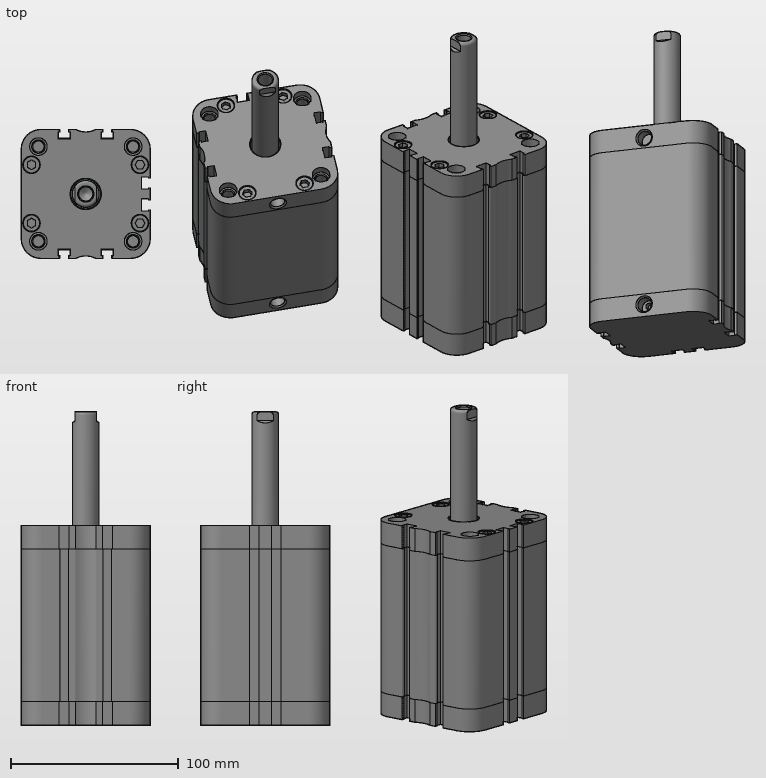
import cadquery as cq
import math

width = 77.0
total_height = 187.0
body_height = 119.1
cap_height = 14.0
corner_radius = 12.0
half_width = width / 2
barrel_height = body_height - 2 * cap_height
barrel_top = cap_height + barrel_height

side_slot_offset = 12.9
cap_throat = 6.0
cap_slot_width = 7.5
cap_slot_depth = 5.6
barrel_throat = 5.0
barrel_slot_width = 6.7
barrel_slot_depth = 5.2
side_lip = 1.7
back_slot_offset = 6.5
back_throat = 5.8
back_slot_width = 7.1
back_slot_depth = 5.2
back_lip = 1.1
dish_width = 12.0
dish_depth = 1.5
dish_radius = (dish_width ** 2 / 4 + dish_depth ** 2) / (2 * dish_depth)
barrel_mouth_radius = 0.5
barrel_dish_radius = 1.3

mount_offset = 28.2
mount_bore = 10.5
mount_bore_depth = 4.9
mount_chamfer = 8.0
mount_hole = 6.7

screw_x = 32.4
screw_y = 17.4
screw_recess = 9.7
screw_recess_chamfer = 10.5
screw_head_drop = 0.5
hex_across_flats = 5.0
hex_depth = 2.8

port_height = 7.7
port_hole = 8.6
port_chamfer = 10.5
port_depth = 8.0
passage_hole = 4.0
passage_rise = 1.0
passage_depth = 3.7

rod_diameter = 16.0
rod_bore = 17.8
rod_bore_chamfer = 18.7
rod_end_radius = 1.9
flat_distance = 12.9
flat_length = 5.5
flat_runout = 1.3
thread_hole = 8.5
thread_chamfer = 9.7
thread_depth = 20.0
drill_tip_angle = 118


def cone_frustum(large_diameter, small_diameter):
    """45-degree countersink with its large end at z = 0, narrowing downwards."""
    depth = (large_diameter - small_diameter) / 2
    return cq.Workplane("XY").circle(large_diameter / 2).workplane(offset=-depth).circle(
        small_diameter / 2).loft()


def slot_tool(throat, slot_width, depth, lip, height):
    """T-slot cutter along Z that opens towards +Y at y = half_width."""
    throat_cut = cq.Workplane("XY").box(throat, depth, height, centered=(True, False, False))
    inner_cut = cq.Workplane("XY").box(slot_width, depth - lip, height, centered=(True, False, False))
    return throat_cut.union(inner_cut).translate((0, half_width - depth, 0))


def section_block(throat, slot_width, depth, height):
    """Rounded square block with the slots and dishes of the side profile, standing on z = 0."""
    block = cq.Workplane("XY").rect(width, width).extrude(height).edges("|Z").fillet(corner_radius)
    side_slot = slot_tool(throat, slot_width, depth, side_lip, height)
    back_slot = slot_tool(back_throat, back_slot_width, back_slot_depth, back_lip, height)
    back_slot = back_slot.rotate((0, 0, 0), (0, 0, 1), -90)
    dish = cq.Workplane("XY").center(0, half_width - dish_depth + dish_radius)
    dish = dish.circle(dish_radius).extrude(height)

    side_cuts = dish
    for slot_sign in (-1, 1):
        side_cuts = side_cuts.union(side_slot.translate((slot_sign * side_slot_offset, 0, 0)))
        block = block.cut(back_slot.translate((0, slot_sign * back_slot_offset, 0)))
    return block.cut(side_cuts).cut(side_cuts.mirror("XZ"))


def round_side_edges(block, edge_x, radius):
    """Round the vertical edges at x = +-edge_x on the -Y and +Y sides."""
    def is_at_edge_x(edge):
        return math.isclose(abs(edge.Center().x), edge_x, abs_tol=0.002)

    for side in ("<Y", ">Y"):
        block = block.edges("|Z").edges(side).filter(is_at_edge_x).fillet(radius)
    return block


def cap_block():
    return section_block(cap_throat, cap_slot_width, cap_slot_depth, cap_height)


def port_tool(axis_z):
    """Chamfered blind port entering from the -X side."""
    port = cq.Workplane("XY").circle(port_hole / 2).extrude(-port_depth)
    port = port.union(cone_frustum(port_chamfer, port_hole))
    return port.rotate((0, 0, 0), (0, 1, 0), -90).translate((-half_width, 0, axis_z))


def mounting_hole_tool():
    """Counterbored, countersunk hole through the cap, with its mouth at z = 0."""
    hole = cq.Workplane("XY").circle(mount_hole / 2).extrude(-cap_height)
    bore = cq.Workplane("XY").circle(mount_bore / 2).extrude(-mount_bore_depth)
    countersink = cone_frustum(mount_chamfer, mount_hole).translate((0, 0, -mount_bore_depth))
    return hole.union(bore).union(countersink)


def screw_head_tool(hex_turn):
    """Chamfered recess down to the top of a screw head, with a hexagon socket below it."""
    recess = cq.Workplane("XY").circle(screw_recess / 2).extrude(-screw_head_drop)
    recess = recess.union(cone_frustum(screw_recess_chamfer, screw_recess))
    hex_corners = hex_across_flats / math.cos(math.pi / 6)
    socket = cq.Workplane("XY").polygon(6, hex_corners).extrude(-screw_head_drop - hex_depth)
    return recess.union(socket.rotate((0, 0, 0), (0, 0, 1), hex_turn))


def make_barrel():
    barrel = section_block(barrel_throat, barrel_slot_width, barrel_slot_depth, barrel_height)
    barrel = round_side_edges(barrel, dish_width / 2, barrel_dish_radius)
    for throat_side in (-1, 1):
        mouth_x = side_slot_offset + throat_side * barrel_throat / 2
        barrel = round_side_edges(barrel, mouth_x, barrel_mouth_radius)
    return barrel.translate((0, 0, cap_height)).solids()


def make_bottom_cap():
    cap = cap_block().cut(port_tool(port_height))
    passage = cq.Workplane("YZ").center(0, port_height + passage_rise)
    passage = passage.circle(passage_hole / 2).extrude(port_depth + passage_depth)
    return cap.cut(passage.translate((-half_width, 0, 0))).solids()


def make_top_cap():
    cap = cap_block().translate((0, 0, barrel_top))
    cap = cap.cut(port_tool(body_height - port_height))

    rod_hole = cq.Workplane("XY").circle(rod_bore / 2).extrude(-cap_height)
    rod_hole = rod_hole.union(cone_frustum(rod_bore_chamfer, rod_bore))
    cap = cap.cut(rod_hole.translate((0, 0, body_height)))

    for x_sign in (-1, 1):
        hex_turn = 30 if x_sign < 0 else 0
        for y_sign in (-1, 1):
            mount_place = (x_sign * mount_offset, y_sign * mount_offset, body_height)
            screw_place = (x_sign * screw_x, y_sign * screw_y, body_height)
            cap = cap.cut(mounting_hole_tool().translate(mount_place))
            cap = cap.cut(screw_head_tool(hex_turn).translate(screw_place))
    return cap.solids()


def make_rod():
    """Rod standing on the barrel, with a rounded end, two wrench flats and a drilled end."""
    rod = cq.Workplane("XY").workplane(offset=barrel_top).circle(rod_diameter / 2)
    rod = rod.extrude(total_height - barrel_top)
    rod = rod.faces(">Z").edges().fillet(rod_end_radius)

    flat_x = flat_distance / 2
    rod_radius = rod_diameter / 2
    flat_bottom = total_height - flat_length
    flat_cut = (
        cq.Workplane("XZ")
        .moveTo(flat_x, total_height)
        .lineTo(flat_x, flat_bottom)
        .lineTo(rod_radius, flat_bottom - flat_runout)
        .lineTo(rod_radius, total_height)
        .close()
        .extrude(rod_radius, both=True)
    )
    rod = rod.cut(flat_cut).cut(flat_cut.mirror("YZ"))

    hole_radius = thread_hole / 2
    tip_depth = hole_radius / math.tan(math.radians(drill_tip_angle / 2))
    chamfer_depth = (thread_chamfer - thread_hole) / 2
    drilled_hole = (
        cq.Workplane("XZ")
        .lineTo(thread_chamfer / 2, 0)
        .lineTo(hole_radius, -chamfer_depth)
        .lineTo(hole_radius, -thread_depth)
        .lineTo(0, -thread_depth - tip_depth)
        .close()
        .revolve(360, (0, 0, 0), (0, 1, 0))
    )
    return rod.cut(drilled_hole.translate((0, 0, total_height))).solids()


barrel = make_barrel()
bottom_cap = make_bottom_cap()
top_cap = make_top_cap()
rod = make_rod()

result = cq.Compound.makeCompound([barrel.val(), bottom_cap.val(), top_cap.val(), rod.val()])